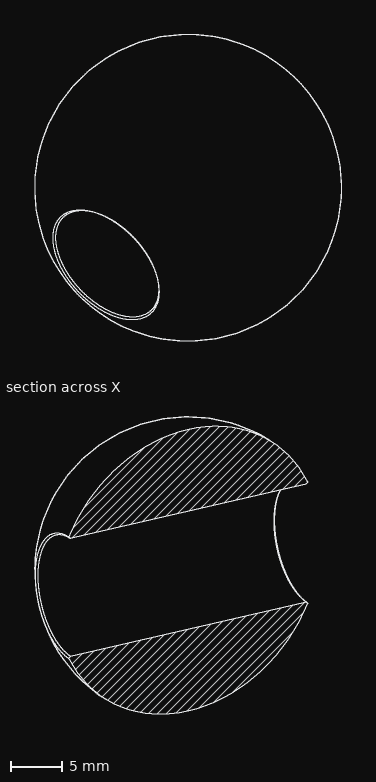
import math

import cadquery as cq

ball_radius = 15.0
bore_radius = 6.25
chamfer_width = 0.2
chamfer_depth = 0.2

rim_radius = bore_radius + chamfer_width
rim_y = math.sqrt(ball_radius**2 - rim_radius**2)
bore_end_y = rim_y - chamfer_depth


def bored_ball():
    """Half section in the XY plane (X = radius), turned about the Y axis."""
    section = (
        cq.Workplane("XY")
        .moveTo(bore_radius, -bore_end_y)
        .lineTo(rim_radius, -rim_y)
        .threePointArc((ball_radius, 0), (rim_radius, rim_y))
        .lineTo(bore_radius, bore_end_y)
        .close()
    )
    return section.revolve(360, (0, 0, 0), (0, 1, 0))


result = bored_ball()